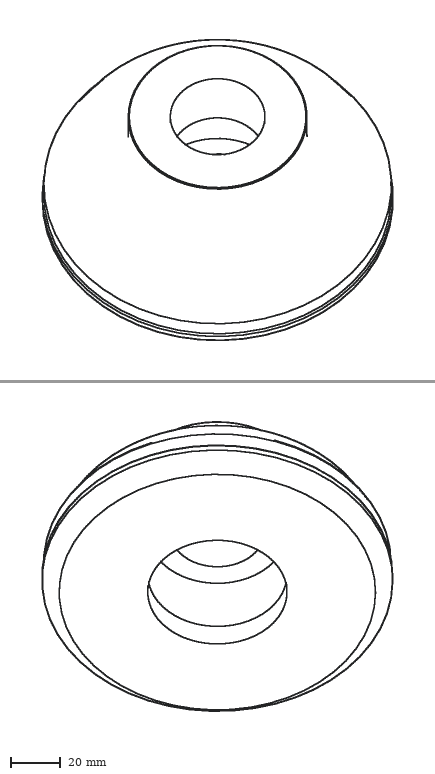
import cadquery as cq

total_height = 63.0
ring_radius = 70.6

ring_height = 10.6
ring_bottom_radius = 63.7
ring_bevel_height = 6.9
ring_rim_top = 9.6

band_radius = 140.0 / 2
band_top = 17.4
ledge_radius = 69.3
ledge_height = 18.6
skirt_bottom_radius = 68.6
skirt_bottom = 19.5
shoulder_radius = 63.5
shoulder_height = 30.1
hub_radius = 72 / 2
hub_foot_height = 44.5
hub_fillet = 5.6
shoulder_fillet = 5.6
hub_chamfer = 0.4

bore_radius = 38.1 / 2
recess_radius = 56.0 / 2
bore_length = 26.4
recess_top = total_height - bore_length


def revolve_about_z(profile):
    """Turn a closed (radius, height) profile on the XZ plane about Z."""
    return profile.close().revolve(360, (0, 0, 0), (0, 1, 0))


def circle_at(radius, height):
    """Select the horizontal circular edge lying at the given radius and height."""
    margin = 0.07
    return cq.selectors.BoxSelector(
        (-radius - margin, -radius - margin, height - margin),
        (radius + margin, radius + margin, height + margin),
        boundingbox=True,
    )


def make_wheel_body():
    """Hub, conical shoulder and outer band, with a stepped bore."""
    body = revolve_about_z(
        cq.Workplane("XZ")
        .moveTo(recess_radius, ring_height)
        .lineTo(band_radius, ring_height)
        .lineTo(band_radius, band_top)
        .lineTo(ledge_radius, ledge_height)
        .lineTo(skirt_bottom_radius, skirt_bottom)
        .lineTo(shoulder_radius, shoulder_height)
        .lineTo(hub_radius, hub_foot_height)
        .lineTo(hub_radius, total_height - hub_chamfer)
        .lineTo(hub_radius - hub_chamfer, total_height)
        .lineTo(bore_radius, total_height)
        .lineTo(bore_radius, recess_top)
        .lineTo(recess_radius, recess_top)
    )
    body = body.edges(circle_at(shoulder_radius, shoulder_height)).fillet(shoulder_fillet)
    return body.edges(circle_at(hub_radius, hub_foot_height)).fillet(hub_fillet)


def make_abrasive_ring():
    """Bevelled ring under the band, standing slightly proud of it."""
    return revolve_about_z(
        cq.Workplane("XZ")
        .moveTo(recess_radius, 0)
        .lineTo(ring_bottom_radius, 0)
        .lineTo(ring_radius, ring_bevel_height)
        .lineTo(ring_radius, ring_rim_top)
        .lineTo(band_radius, ring_height)
        .lineTo(recess_radius, ring_height)
    )


wheel_body = make_wheel_body()
abrasive_ring = make_abrasive_ring()

result = cq.Compound.makeCompound([wheel_body.val(), abrasive_ring.val()])